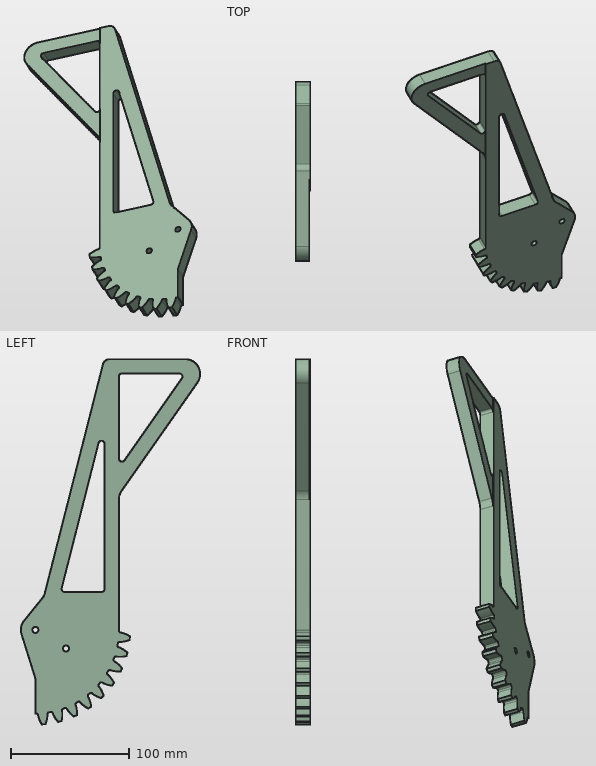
import cadquery as cq
import math


OVERALL_HEIGHT = 308.8
BODY_THICKNESS = 12.7
HANDLE_THICKNESS = 11.7

PITCH_RADIUS = 76.0
FULL_CIRCLE_TEETH = 36
SECTOR_TEETH = 9
PRESSURE_ANGLE = math.radians(20)
TOOTH_ROOT_FILLET = 1.2
FLANK_POINTS = 6
DEDENDUM_RATIO = 1.25
MODULE = 2 * PITCH_RADIUS / FULL_CIRCLE_TEETH
TIP_RADIUS = PITCH_RADIUS + MODULE
ROOT_RADIUS = PITCH_RADIUS - DEDENDUM_RATIO * MODULE
BASE_RADIUS = PITCH_RADIUS * math.cos(PRESSURE_ANGLE)
TOOTH_ANGLE = 2 * math.pi / FULL_CIRCLE_TEETH

HUB_RADIUS = 12.5
HUB_UPPER_SLOPE = math.radians(39)
HUB_LOWER_SLOPE = math.radians(17.4)
HOLE_DIAMETER = 5.0
SECOND_HOLE = (26.0, -15.7)

STRUT_SLOPE = math.radians(14.25)
STRUT_WIDTH = 13.0
SPINE_WIDTH = 12.5
SPINE_FRONT = ROOT_RADIUS
SPINE_BACK = SPINE_FRONT - SPINE_WIDTH
STRUT_WINDOW_BOTTOM = 32.0
TOP_CORNER_FILLET = 6.2
STRUT_FOOT_FILLET = 7.7

HANDLE_SLOPE = math.radians(35)
HANDLE_TIP_RADIUS = 12.7
HANDLE_TIP_FORWARD = 126.5
HANDLE_ROOT_FILLET = 12.5
HANDLE_WIDTH = 13.0
TOP_BAR_WIDTH = 12.5
WINDOW_FILLET = 2.5

OUTLINE_PLANE = cq.Plane(origin=(0, 0, 0), xDir=(0, -1, 0), normal=(-1, 0, 0))


def polar(radius, angle_below_forward):
    """Point at a radius from the hub, its angle turning down from straight forward."""
    return (radius * math.cos(angle_below_forward), -radius * math.sin(angle_below_forward))


def involute(angle):
    return math.tan(angle) - angle


def tooth_half_angle(radius):
    """Half the angle that an involute tooth spans at a radius."""
    flank_angle = math.acos(min(1.0, BASE_RADIUS / radius))
    return TOOTH_ANGLE / 4 + involute(PRESSURE_ANGLE) - involute(flank_angle)


def tooth_centre(index):
    return (index + 0.5) * TOOTH_ANGLE


LOWEST_CORNER = tooth_centre(SECTOR_TEETH - 1) + tooth_half_angle(TIP_RADIUS)
TOP = OVERALL_HEIGHT - TIP_RADIUS * math.sin(LOWEST_CORNER)

STRUT_TOP_CORNER = (TOP * math.tan(STRUT_SLOPE), TOP)
STRUT_FOOT_DISTANCE = HUB_RADIUS / math.sin(HUB_UPPER_SLOPE - STRUT_SLOPE)
STRUT_FOOT = (
    STRUT_FOOT_DISTANCE * math.sin(STRUT_SLOPE),
    STRUT_FOOT_DISTANCE * math.cos(STRUT_SLOPE),
)

TIP_CENTRE_HEIGHT = TOP - HANDLE_TIP_RADIUS
TIP_TANGENT = (
    HANDLE_TIP_FORWARD + HANDLE_TIP_RADIUS * math.cos(HANDLE_SLOPE),
    TIP_CENTRE_HEIGHT - HANDLE_TIP_RADIUS * math.sin(HANDLE_SLOPE),
)
HANDLE_FOOT_HEIGHT = TIP_TANGENT[1] - (TIP_TANGENT[0] - SPINE_FRONT) / math.tan(HANDLE_SLOPE)


def extrude(outline, thickness):
    """Extrude from the X = 0 face toward +X."""
    return outline.extrude(-thickness)


def add_tooth(outline, centre):
    """Continue the outline from the start of the root gap around one tooth, from top to bottom."""
    radius_step = (TIP_RADIUS - BASE_RADIUS) / (FLANK_POINTS - 1)
    radii = [BASE_RADIUS + radius_step * i for i in range(FLANK_POINTS)]
    upper_flank = [polar(r, centre - tooth_half_angle(r)) for r in radii]
    lower_flank = [polar(r, centre + tooth_half_angle(r)) for r in reversed(radii)]
    base_half_angle = tooth_half_angle(BASE_RADIUS)
    gap_start = centre - TOOTH_ANGLE / 2
    gap_end = centre + TOOTH_ANGLE / 2
    upper_root = centre - base_half_angle
    lower_root = centre + base_half_angle
    outline = outline.threePointArc(
        polar(ROOT_RADIUS, (gap_start + upper_root) / 2), polar(ROOT_RADIUS, upper_root)
    )
    outline = outline.lineTo(*upper_flank[0]).spline(upper_flank[1:], includeCurrent=True)
    outline = outline.threePointArc(polar(TIP_RADIUS, centre), lower_flank[0])
    outline = outline.spline(lower_flank[1:], includeCurrent=True).lineTo(*polar(ROOT_RADIUS, lower_root))
    return outline.threePointArc(
        polar(ROOT_RADIUS, (lower_root + gap_end) / 2), polar(ROOT_RADIUS, gap_end)
    )


def edge_at(point):
    """Selector for the edge along X that passes through an outline point."""
    world = OUTLINE_PLANE.toWorldCoords((*point, -BODY_THICKNESS / 2))
    return cq.selectors.NearestToPointSelector(world.toTuple())


def make_body():
    hub_upper = (-HUB_RADIUS * math.cos(HUB_UPPER_SLOPE), HUB_RADIUS * math.sin(HUB_UPPER_SLOPE))
    hub_lower = (-HUB_RADIUS * math.cos(HUB_LOWER_SLOPE), -HUB_RADIUS * math.sin(HUB_LOWER_SLOPE))
    outline = cq.Workplane(OUTLINE_PLANE).moveTo(*polar(ROOT_RADIUS, 0))
    for index in range(SECTOR_TEETH):
        outline = add_tooth(outline, tooth_centre(index))
    outline = (
        outline.lineTo(0, -HUB_RADIUS / math.sin(HUB_LOWER_SLOPE))
        .lineTo(*hub_lower)
        .threePointArc((-HUB_RADIUS, 0), hub_upper)
        .lineTo(*STRUT_FOOT)
        .lineTo(*STRUT_TOP_CORNER)
        .lineTo(SPINE_FRONT, TOP)
        .close()
    )
    body = extrude(outline, BODY_THICKNESS)
    body = body.edges(edge_at(STRUT_TOP_CORNER)).fillet(TOP_CORNER_FILLET)
    body = body.edges(edge_at(STRUT_FOOT)).fillet(STRUT_FOOT_FILLET)
    for index in range(SECTOR_TEETH):
        for side in (-1, 1):
            root_angle = tooth_centre(index) + side * tooth_half_angle(BASE_RADIUS)
            body = body.edges(edge_at(polar(ROOT_RADIUS, root_angle))).fillet(TOOTH_ROOT_FILLET)
    return body


def make_handle():
    tip_middle_angle = (math.pi / 2 - HANDLE_SLOPE) / 2
    tip_middle = (
        HANDLE_TIP_FORWARD + HANDLE_TIP_RADIUS * math.cos(tip_middle_angle),
        TIP_CENTRE_HEIGHT + HANDLE_TIP_RADIUS * math.sin(tip_middle_angle),
    )
    fillet_reach = HANDLE_ROOT_FILLET * math.tan(HANDLE_SLOPE / 2)
    fillet_start = (
        SPINE_FRONT + fillet_reach * math.sin(HANDLE_SLOPE),
        HANDLE_FOOT_HEIGHT + fillet_reach * math.cos(HANDLE_SLOPE),
    )
    fillet_middle = (
        SPINE_FRONT + HANDLE_ROOT_FILLET * (1 - math.cos(HANDLE_SLOPE / 2)),
        HANDLE_FOOT_HEIGHT - fillet_reach + HANDLE_ROOT_FILLET * math.sin(HANDLE_SLOPE / 2),
    )
    outline = (
        cq.Workplane(OUTLINE_PLANE)
        .moveTo(SPINE_FRONT, TOP)
        .lineTo(HANDLE_TIP_FORWARD, TOP)
        .threePointArc(tip_middle, TIP_TANGENT)
        .lineTo(*fillet_start)
        .threePointArc(fillet_middle, (SPINE_FRONT, HANDLE_FOOT_HEIGHT - fillet_reach))
        .close()
    )
    return extrude(outline, HANDLE_THICKNESS)


def make_window(corners):
    """Cutter for a triangular window with rounded corners."""
    window = extrude(cq.Workplane(OUTLINE_PLANE).polyline(corners).close(), BODY_THICKNESS)
    return window.edges("|X").fillet(WINDOW_FILLET)


def make_strut_window():
    slant_offset = STRUT_WIDTH / math.cos(STRUT_SLOPE)
    bottom_back = STRUT_WINDOW_BOTTOM * math.tan(STRUT_SLOPE) + slant_offset
    apex_height = (SPINE_BACK - slant_offset) / math.tan(STRUT_SLOPE)
    return make_window(
        [
            (bottom_back, STRUT_WINDOW_BOTTOM),
            (SPINE_BACK, STRUT_WINDOW_BOTTOM),
            (SPINE_BACK, apex_height),
        ]
    )


def make_handle_window():
    window_top = TOP - TOP_BAR_WIDTH
    apex_height = HANDLE_FOOT_HEIGHT + HANDLE_WIDTH / math.sin(HANDLE_SLOPE)
    front = SPINE_FRONT + (window_top - apex_height) * math.tan(HANDLE_SLOPE)
    return make_window([(SPINE_FRONT, apex_height), (SPINE_FRONT, window_top), (front, window_top)])


def make_holes():
    circles = cq.Workplane(OUTLINE_PLANE).pushPoints([(0, 0), SECOND_HOLE]).circle(HOLE_DIAMETER / 2)
    return extrude(circles, BODY_THICKNESS)


result = (
    make_body()
    .union(make_handle())
    .cut(make_strut_window())
    .cut(make_handle_window())
    .cut(make_holes())
)